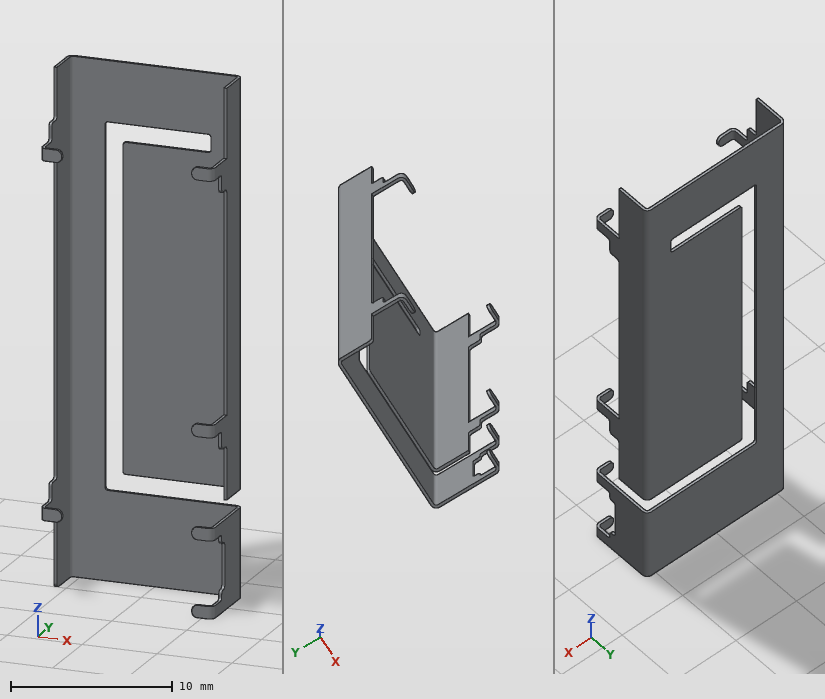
import cadquery as cq

width = 11.53
depth = 4.93
height = 34.0
half_width = width / 2

sheet = 0.2
inner_bend = sheet
outer_bend = inner_bend + sheet

wall_front = 2.3
skirt_front = 1.97
shoulder_front = 1.45
wall_corner_radius = 0.3

finger_height = 0.8
finger_length = 1.43
finger_tip_radius = 0.37
shoulder_height = 2.0
short_shoulder_height = 1.43
tab_corner_radius = 0.2

upper_finger_bottom = 28.6
upper_finger_top = upper_finger_bottom + finger_height
middle_finger_top = 12.65
foot_top = 5.9
lower_finger_bottom = foot_top - finger_height

slot_width = 1.2
slot_left_inset = 2.45
slot_length = 7.07
slot_left = -half_width + slot_left_inset
slot_right = slot_left + slot_length
slot_top = 30.0
slot_top_width = 1.2
slot_corner_radius = 0.2
leaf_left = slot_left + slot_width
leaf_top = slot_top - slot_top_width
leaf_bottom = foot_top + slot_width


def lipped_channel():
    """Full-height C section: back panel, two side walls and two inward lips."""
    outer = cq.Workplane("XY").rect(width, depth).extrude(height).edges("|Z").fillet(outer_bend)
    inner = (
        cq.Workplane("XY").rect(width - 2 * sheet, depth - 2 * sheet).extrude(height)
        .edges("|Z").fillet(inner_bend)
    )
    mouth = (
        cq.Workplane("XY").center(0, -depth / 2)
        .rect(width - 2 * finger_length, depth).extrude(height)
    )
    return outer.cut(inner).cut(mouth).translate((0, depth / 2, 0))


def side_plate(side, front, bottom, top):
    """Slab covering one half of the channel (side -1 left, +1 right) behind a wall's front edge."""
    return (
        cq.Workplane("YZ").moveTo(front, bottom).lineTo(depth, bottom).lineTo(depth, top)
        .lineTo(front, top).close().extrude(side * half_width)
    )


def tab_plate(side, flush_z, step, front=wall_front, shoulder=shoulder_height):
    """Slab for one tab; step is the Z direction from the flush edge to the shoulder."""
    finger_z = flush_z + step * finger_height
    shoulder_z = flush_z + step * shoulder
    return (
        cq.Workplane("YZ")
        .moveTo(depth, flush_z)
        .lineTo(0, flush_z)
        .lineTo(0, finger_z)
        .lineTo(shoulder_front - tab_corner_radius, finger_z)
        .radiusArc((shoulder_front, finger_z + step * tab_corner_radius), -step * tab_corner_radius)
        .lineTo(shoulder_front, shoulder_z - step * tab_corner_radius)
        .radiusArc((shoulder_front + tab_corner_radius, shoulder_z), step * tab_corner_radius)
        .lineTo(front - tab_corner_radius, shoulder_z)
        .radiusArc((front, shoulder_z + step * tab_corner_radius), -step * tab_corner_radius)
        .lineTo(depth, shoulder_z + step * tab_corner_radius)
        .close()
        .extrude(side * half_width)
    )


def left_half():
    """Region kept on the left: one full-height wall with two tabs."""
    plate = side_plate(-1, wall_front, 0, height)
    plate = plate.edges("|X and <Y and <Z").fillet(wall_corner_radius)
    for finger_bottom in (upper_finger_bottom, lower_finger_bottom):
        plate = plate.union(tab_plate(-1, finger_bottom, 1))
    return plate


def right_half():
    """Region kept on the right: upper wall with two tabs, lower strip with two tabs."""
    plate = side_plate(1, wall_front, foot_top, height)
    for finger_top in (upper_finger_top, middle_finger_top):
        plate = plate.union(tab_plate(1, finger_top, -1))
    plate = plate.union(side_plate(1, skirt_front, 0, foot_top))
    plate = plate.union(tab_plate(1, foot_top, -1, skirt_front, short_shoulder_height))
    return plate.union(tab_plate(1, 0, 1, skirt_front, short_shoulder_height))


def leaf_slot():
    """Slot around the leaf: across its top, down its left side and out through the right wall."""
    gap_end = half_width + sheet
    outline = [
        (slot_left, slot_top),
        (slot_right, slot_top),
        (slot_right, leaf_top),
        (leaf_left, leaf_top),
        (leaf_left, leaf_bottom),
        (gap_end, leaf_bottom),
        (gap_end, foot_top),
        (slot_left, foot_top),
    ]
    slot = cq.Workplane("XZ").polyline(outline).close().extrude(-depth)
    return slot.edges("|Y").edges("not >X").fillet(slot_corner_radius)


def finger_tips(body):
    """Edges at the free ends of the fingers that run through the sheet thickness."""
    tip_x = half_width - finger_length
    margin = sheet / 2
    region = cq.selectors.BoxSelector(
        (-tip_x - margin, -margin, -margin), (tip_x + margin, sheet + margin, height)
    )
    return body.edges("|Y").edges(region)


body = lipped_channel().intersect(left_half().union(right_half())).cut(leaf_slot())
result = finger_tips(body).fillet(finger_tip_radius)